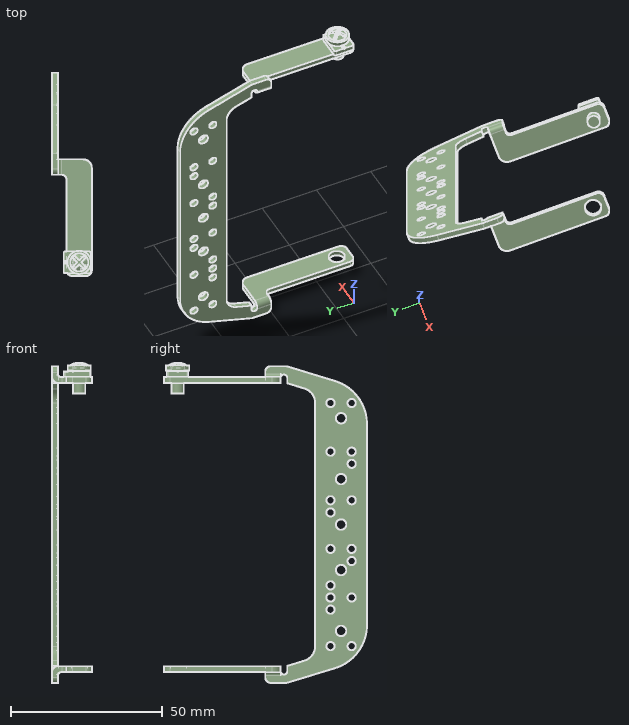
import cadquery as cq
import math

sheet = 2.0
bend_inner_radius = 1.1
bend_outer_radius = sheet
bend_end = sheet + bend_inner_radius

plate_half_height = 52.2
spine_width = 17.2
taper_angle = math.radians(17)
taper_end = 26.6
outer_corner_radius = 15.0
inner_corner_radius = 4.9
arm_end_height = 46.5
lug_end = 33.6
lug_corner_radius = 2.0

slot_start = 26.4
slot_width = 2.1
slot_end = slot_start + slot_width
slot_top = 49.4

small_hole_diameter = 2.6
large_hole_diameter = 3.4
column_spacing = 7.0
column_center = spine_width / 2
back_column = column_center - column_spacing / 2
front_column = column_center + column_spacing / 2
pattern_height = 80.0
end_row = 10
row_pitch = pattern_height / (2 * end_row)
back_rows = (end_row, 6, 5, 2, -2, -3, -6, -end_row)
front_rows = (end_row, 6, 2, 1, -2, -5, -6, -7, -end_row)
large_outer_height = 35.0
large_inner_height = 15.0

flange_top = 48.6
flange_bottom = flange_top - sheet
bend_center_height = flange_top + bend_inner_radius
leg_inner_side = 4.7
leg_outer_side = 13.2
leg_end = 67.0
elbow_radius = 3.0
leg_inside_radius = 1.5
leg_tip_radius = 2.0

screw_x = (leg_inner_side + leg_outer_side) / 2
screw_y = -(leg_end - 4.5)
shank_diameter = 4.1
shank_below_flange = 3.5
clearance_diameter = 5.4
clearance_y = -(leg_end - 4.7)
washer_length = 9.0
washer_width = 7.2
washer_thickness = 1.9
washer_corner = 0.5
washer_outer_side = 12.8
washer_top = flange_top + washer_thickness
groove_width = 1.0
groove_depth = 0.3
head_gap = 0.2
head_diameter = 7.7
head_thickness = 1.7
dome_diameter = 6.0
dome_crown = 53.4
head_bottom = washer_top + head_gap
head_rim = head_bottom + head_thickness
dome_height = dome_crown - head_rim
recess_arm_width = 1.0
recess_span = 5.5
recess_depth = 1.7
recess_mouth = 1.9
recess_floor = 1.0


def fillet_at(body, axis, points, radius):
    """Round the edges parallel to an axis whose centres lie at the given points."""
    for point in points:
        selector = cq.selectors.NearestToPointSelector(point)
        body = body.edges("|" + axis).edges(selector).fillet(radius)
    return body


def both_ends(upper):
    """Join the upper half to its mirror image below mid-height."""
    return upper.union(upper.mirror("XY"))


def upper_half_plate():
    slope = math.tan(taper_angle)
    outer_corner_height = plate_half_height - taper_end * slope
    inner_corner_height = arm_end_height - (slot_start - spine_width) * slope
    slot_side_height = arm_end_height + slot_width * slope
    outline = [
        (0, 0),
        (0, outer_corner_height),
        (-taper_end, plate_half_height),
        (-lug_end, plate_half_height),
        (-lug_end, bend_center_height),
        (-slot_end, bend_center_height),
        (-slot_end, slot_side_height),
        (-spine_width, inner_corner_height),
        (-spine_width, 0),
    ]
    half = cq.Workplane("YZ").polyline(outline).close().extrude(sheet)
    middle = sheet / 2
    half = fillet_at(half, "X", [(middle, 0, outer_corner_height)], outer_corner_radius)
    half = fillet_at(half, "X", [(middle, -spine_width, inner_corner_height)], inner_corner_radius)
    half = fillet_at(half, "X", [(middle, -lug_end, plate_half_height)], lug_corner_radius)

    slot_center = slot_start + slot_width / 2
    round_center_height = slot_top - slot_width / 2
    slot = (
        cq.Workplane("YZ")
        .moveTo(-slot_start, arm_end_height - slot_width)
        .lineTo(-slot_start, round_center_height)
        .threePointArc((-slot_center, slot_top), (-slot_end, round_center_height))
        .lineTo(-slot_end, arm_end_height - slot_width)
        .close()
        .extrude(sheet)
    )
    return half.cut(slot)


def upper_bend():
    diagonal = math.sqrt(0.5)
    outer_offset = bend_outer_radius * (1 - diagonal)
    inner_offset = bend_inner_radius * diagonal
    outer_middle = (outer_offset, flange_bottom + outer_offset)
    inner_middle = (bend_end - inner_offset, bend_center_height - inner_offset)
    return (
        cq.Workplane("XZ", origin=(0, -slot_end, 0))
        .moveTo(0, bend_center_height)
        .lineTo(0, flange_bottom + bend_outer_radius)
        .threePointArc(outer_middle, (bend_outer_radius, flange_bottom))
        .lineTo(bend_end, flange_bottom)
        .lineTo(bend_end, flange_top)
        .threePointArc(inner_middle, (sheet, bend_center_height))
        .close()
        .extrude(lug_end - slot_end)
    )


def upper_leg():
    outline = [
        (bend_end, -slot_end),
        (leg_outer_side, -slot_end),
        (leg_outer_side, -leg_end),
        (leg_inner_side, -leg_end),
        (leg_inner_side, -lug_end),
        (bend_end, -lug_end),
    ]
    leg = cq.Workplane("XY", origin=(0, 0, flange_bottom)).polyline(outline).close().extrude(sheet)
    middle = flange_bottom + sheet / 2
    tips = [(x, -leg_end, middle) for x in (leg_inner_side, leg_outer_side)]
    leg = fillet_at(leg, "Z", [(leg_outer_side, -slot_end, middle)], elbow_radius)
    leg = fillet_at(leg, "Z", [(leg_inner_side, -lug_end, middle)], leg_inside_radius)
    return fillet_at(leg, "Z", tips, leg_tip_radius)


def cylinders_through_plate(diameter, points):
    return cq.Workplane("YZ").pushPoints(points).circle(diameter / 2).extrude(sheet)


def spine_holes():
    small = [(-back_column, row * row_pitch) for row in back_rows]
    small += [(-front_column, row * row_pitch) for row in front_rows]
    large_rows = (large_outer_height, large_inner_height, 0, -large_inner_height, -large_outer_height)
    large = [(-column_center, height) for height in large_rows]
    return cylinders_through_plate(small_hole_diameter, small).union(
        cylinders_through_plate(large_hole_diameter, large)
    )


def disc(diameter, y, bottom, height):
    return cq.Workplane("XY", origin=(screw_x, y, bottom)).circle(diameter / 2).extrude(height)


def square_washer():
    inner_side = washer_outer_side - washer_length
    washer = (
        cq.Workplane("XY", origin=(inner_side + washer_length / 2, screw_y, flange_top))
        .rect(washer_length, washer_width)
        .extrude(washer_thickness)
        .edges("|Z")
        .fillet(washer_corner)
    )
    groove = (
        cq.Workplane("YZ", origin=(inner_side, screw_y, washer_top))
        .polyline([(-groove_width / 2, 0), (0, -groove_depth), (groove_width / 2, 0)])
        .close()
        .extrude(screw_x - inner_side)
    )
    return washer.cut(groove)


def cross_recess():
    floor = cq.Workplane("XY", origin=(screw_x, screw_y, dome_crown - recess_depth))
    pit = (
        floor.rect(recess_floor, recess_floor)
        .workplane(offset=recess_depth)
        .rect(recess_mouth, recess_mouth)
        .loft(ruled=True)
    )
    for angle in (45, 135):
        turned = floor.transformed(rotate=(0, 0, angle))
        pit = pit.union(turned.rect(recess_span, recess_arm_width).extrude(recess_depth))
    return pit


def screw():
    shank_bottom = flange_bottom - shank_below_flange
    shank = disc(shank_diameter, screw_y, shank_bottom, head_rim - shank_bottom)
    head = disc(head_diameter, screw_y, head_bottom, head_thickness)
    dome = (
        cq.Workplane("XZ", origin=(screw_x, screw_y, head_rim))
        .lineTo(dome_diameter / 2, 0)
        .threePointArc(dome_arc_middle(), (0, dome_height))
        .close()
        .revolve(360, (0, 0, 0), (0, 1, 0))
    )
    return shank.union(head).union(dome).cut(cross_recess())


def dome_arc_middle():
    """Point halfway along the dome's arc, from its rim to its crown."""
    rim_radius = dome_diameter / 2
    sphere_radius = (rim_radius**2 + dome_height**2) / (2 * dome_height)
    half_angle = math.asin(rim_radius / sphere_radius) / 2
    drop = sphere_radius * (1 - math.cos(half_angle))
    return (sphere_radius * math.sin(half_angle), dome_height - drop)


frame = both_ends(upper_half_plate().union(upper_bend()).union(upper_leg()))
frame = frame.cut(spine_holes())
frame = frame.cut(disc(clearance_diameter, clearance_y, -flange_top, sheet))
result = frame.union(square_washer()).union(screw())